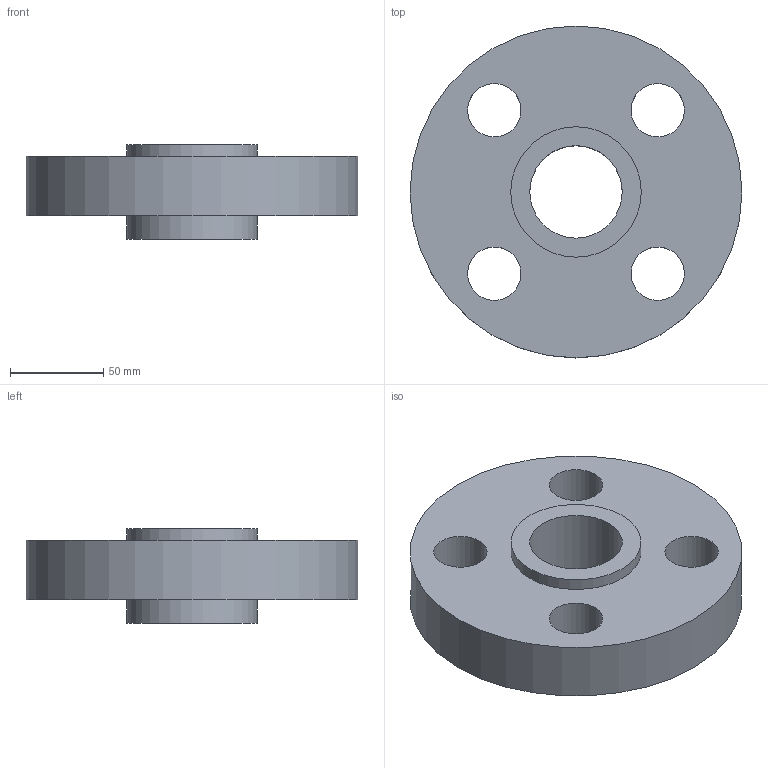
import cadquery as cq

flange_diameter = 177.8
flange_thickness = 31.75

hub_diameter = 69.85
raised_face_height = 6.35
hub_depth = 12.7

bore_diameter = 49.5
bolt_hole_diameter = 28.575
bolt_circle_diameter = 123.825
bolt_hole_count = 4
first_bolt_angle = 45.0

total_height = hub_depth + flange_thickness + raised_face_height


def cylinder(diameter, bottom, height):
    """Solid cylinder on the Z axis, rising from the given bottom level."""
    return cq.Workplane("XY").workplane(offset=bottom).circle(diameter / 2).extrude(height)


def bolt_holes():
    """Full-height cutters, evenly spaced on the bolt circle."""
    return (
        cq.Workplane("XY")
        .polarArray(bolt_circle_diameter / 2, first_bolt_angle, 360, bolt_hole_count)
        .circle(bolt_hole_diameter / 2)
        .extrude(total_height)
    )


hub = cylinder(hub_diameter, 0, total_height)
flange = cylinder(flange_diameter, hub_depth, flange_thickness)
bore = cylinder(bore_diameter, 0, total_height)

result = hub.union(flange).cut(bore).cut(bolt_holes())